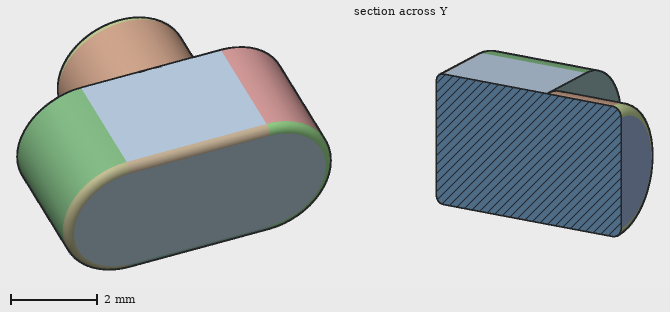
import cadquery as cq

HEIGHT = 3.2
BODY_WIDTH = 6.7
BODY_LENGTH = 3.0
PIN_LENGTH = 2.0
BODY_FILLET = 0.2
PIN_FILLET = 0.25


def make_body():
    """Obround block running from X = 0 toward +X, with its far rim rounded."""
    block = cq.Workplane("YZ").slot2D(BODY_WIDTH, HEIGHT).extrude(BODY_LENGTH)
    return block.faces(">X").edges().fillet(BODY_FILLET)


def make_pin():
    """Round pin running from X = 0 toward -X, with its free end rounded."""
    pin = cq.Workplane("YZ").circle(HEIGHT / 2).extrude(-PIN_LENGTH)
    return pin.faces("<X").edges().fillet(PIN_FILLET)


result = make_body().union(make_pin())